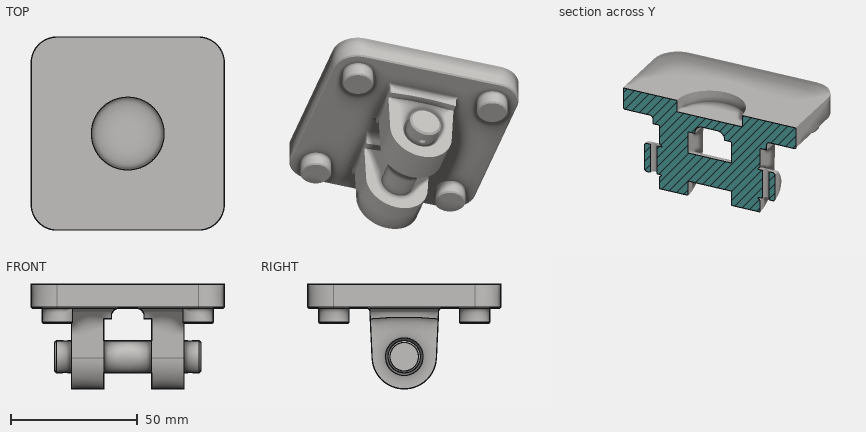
import cadquery as cq
import math

plate_side = 76.2
plate_thickness = 9.5
corner_radius = 10.2
bottom_chamfer = 0.5
recess_diameter = 28.7
recess_depth = 5.0

foot_diameter = 12.1
foot_height = 5.95
foot_spacing = 55.5
foot_chamfer = 0.5

total_height = 41.3
lug_outer_x = 22.25
lug_inner_x = 9.4
lug_tip_radius = 12.7
lug_root_half_width = 13.65
pad_overhang = 3.0
pad_edge_depth = 13.7
pad_middle_depth = 12.95
root_fillet = 1.0
arch_fillet = 3.0

pin_diameter = 12.7
pin_length = 57.75
pin_chamfer = 0.8
countersink_diameter = 14.8
cotter_hole_diameter = 2.7
cotter_hole_x = 24.6

plate_bottom_z = -plate_thickness
pin_z = lug_tip_radius - total_height


def make_plate():
    plate = cq.Workplane("XY").box(plate_side, plate_side, plate_thickness, centered=(True, True, False))
    plate = plate.translate((0, 0, plate_bottom_z))
    plate = plate.edges("|Z").fillet(corner_radius)
    plate = plate.faces("<Z").edges().chamfer(bottom_chamfer)
    recess = cq.Workplane("XY").circle(recess_diameter / 2).extrude(-recess_depth)
    return plate.cut(recess)


def make_feet():
    feet = cq.Workplane("XY").workplane(offset=plate_bottom_z)
    feet = feet.rarray(foot_spacing, foot_spacing, 2, 2).circle(foot_diameter / 2).extrude(-foot_height)
    return feet.faces("<Z").edges().chamfer(foot_chamfer)


def make_tapered_tongue(inner_x, outer_x):
    """Tongue with a round tip, its straight flanks tangent to the tip and widening to the plate."""
    root_height = plate_bottom_z - pin_z
    root_distance = math.hypot(lug_root_half_width, root_height)
    tangent_angle = math.atan2(root_height, lug_root_half_width) - math.acos(lug_tip_radius / root_distance)
    tangent_y = lug_tip_radius * math.cos(tangent_angle)
    tangent_z = pin_z + lug_tip_radius * math.sin(tangent_angle)
    return (
        cq.Workplane("YZ")
        .workplane(offset=inner_x)
        .moveTo(-lug_root_half_width, plate_bottom_z)
        .lineTo(-tangent_y, tangent_z)
        .threePointArc((0, -total_height), (tangent_y, tangent_z))
        .lineTo(lug_root_half_width, plate_bottom_z)
        .close()
        .extrude(outer_x - inner_x)
    )


def make_root_pad():
    """Pad joining a lug to the plate: wider than the lug in X, arched underneath."""
    inner_x = lug_inner_x - pad_overhang
    outer_x = lug_outer_x + pad_overhang
    pad = make_tapered_tongue(inner_x, outer_x)
    arched_limit = (
        cq.Workplane("YZ")
        .workplane(offset=inner_x)
        .moveTo(-lug_root_half_width, 0)
        .lineTo(-lug_root_half_width, -pad_edge_depth)
        .threePointArc((0, -pad_middle_depth), (lug_root_half_width, -pad_edge_depth))
        .lineTo(lug_root_half_width, 0)
        .close()
        .extrude(outer_x - inner_x)
    )
    return pad.intersect(arched_limit)


def make_lug():
    lug = make_tapered_tongue(lug_inner_x, lug_outer_x)
    countersink_depth = (countersink_diameter - pin_diameter) / 2
    countersink = cq.Workplane(
        cq.Solid.makeCone(
            countersink_diameter / 2, pin_diameter / 2, countersink_depth,
            cq.Vector(lug_outer_x, 0, pin_z), cq.Vector(-1, 0, 0),
        )
    )
    return lug.cut(countersink)


def make_pin():
    pin = cq.Workplane("YZ").center(0, pin_z).circle(pin_diameter / 2).extrude(pin_length / 2, both=True)
    pin = pin.faces("<X or >X").edges().chamfer(pin_chamfer)
    cotter_holes = (
        cq.Workplane("XY")
        .workplane(offset=pin_z)
        .pushPoints([(-cotter_hole_x, 0), (cotter_hole_x, 0)])
        .circle(cotter_hole_diameter / 2)
        .extrude(pin_diameter, both=True)
    )
    return pin.cut(cotter_holes)


def fillet_pad_roots(body):
    """Round the pads into the plate: larger inside the arch, smaller around the other three sides."""
    inner_x = lug_inner_x - pad_overhang
    outer_x = lug_outer_x + pad_overhang
    tolerance = 0.1
    for side in (-1, 1):
        for first_x, last_x, radius in (
            (inner_x - arch_fillet, inner_x + tolerance, arch_fillet),
            (inner_x + tolerance, outer_x + tolerance, root_fillet),
        ):
            roots = cq.selectors.BoxSelector(
                (side * first_x, -lug_root_half_width - tolerance, plate_bottom_z - tolerance),
                (side * last_x, lug_root_half_width + tolerance, plate_bottom_z + tolerance),
            )
            body = body.edges(roots).fillet(radius)
    return body


right_pad = make_root_pad()
right_lug = make_lug()
result = make_plate().union(right_pad).union(right_pad.mirror("YZ"))
result = fillet_pad_roots(result)
result = result.union(right_lug).union(right_lug.mirror("YZ"))
result = result.union(make_feet()).union(make_pin())